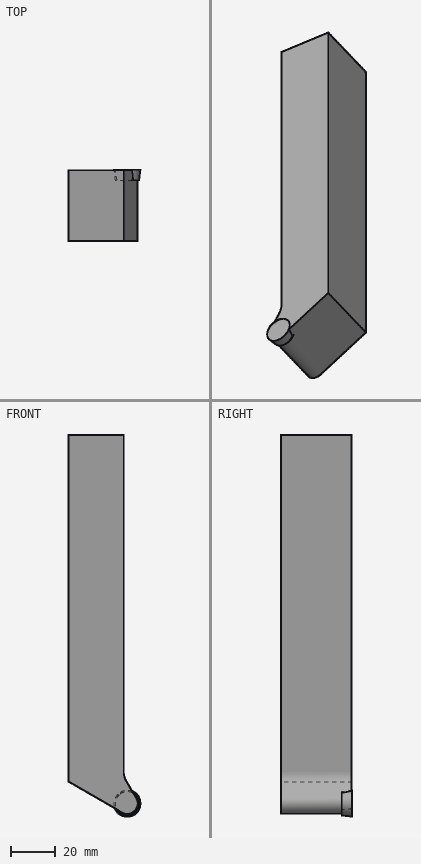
import cadquery as cq
import math

shank_width = 24.85
overall_width = 32.35
overall_depth = 32.0
overall_height = 171.35

insert_diameter = 12.0
insert_thickness = 4.76
insert_protrusion = 0.2
clearance_angle = math.radians(7.0)
insert_radius = insert_diameter / 2
insert_base_radius = insert_radius - insert_thickness * math.tan(clearance_angle)
insert_x = overall_width - insert_radius
insert_z = insert_radius - overall_height
shank_depth = overall_depth - insert_protrusion

nose_radius = 4.7
underside_angle = math.radians(30.0)
neck_angle = math.radians(30.0)
neck_fillet_radius = 8.0


def nose_point(angle):
    """Point on the nose arc, at an angle from +X toward +Z."""
    return (insert_x + nose_radius * math.cos(angle), insert_z + nose_radius * math.sin(angle))


def make_insert():
    """Truncated cone, narrowing away from the cutting face."""
    cone = cq.Solid.makeCone(
        insert_radius,
        insert_base_radius,
        insert_thickness,
        pnt=cq.Vector(insert_x, overall_depth, insert_z),
        dir=cq.Vector(0, -1, 0),
    )
    return cq.Workplane("XY").newObject([cone])


def make_holder(insert):
    """Shank and head in one outline, with a seat that matches the insert."""
    underside_normal = -math.pi / 2 - underside_angle
    neck_tangent = nose_point(neck_angle)
    underside_tangent = nose_point(underside_normal)
    nose_middle = nose_point((neck_angle + underside_normal) / 2)

    neck_rise = (neck_tangent[0] - shank_width) / math.tan(neck_angle)
    neck_corner = (shank_width, neck_tangent[1] + neck_rise)
    heel_rise = underside_tangent[0] * math.tan(underside_angle)
    heel_corner = (0, underside_tangent[1] + heel_rise)

    body = (
        cq.Workplane("XZ")
        .polyline([heel_corner, (0, 0), (shank_width, 0), neck_corner, neck_tangent])
        .threePointArc(nose_middle, underside_tangent)
        .close()
        .extrude(-shank_depth)
    )
    neck_edge = cq.selectors.NearestToPointSelector((neck_corner[0], shank_depth / 2, neck_corner[1]))
    return body.edges(neck_edge).fillet(neck_fillet_radius).cut(insert)


insert = make_insert()
holder = make_holder(insert)

result = cq.Compound.makeCompound([holder.val(), insert.val()])